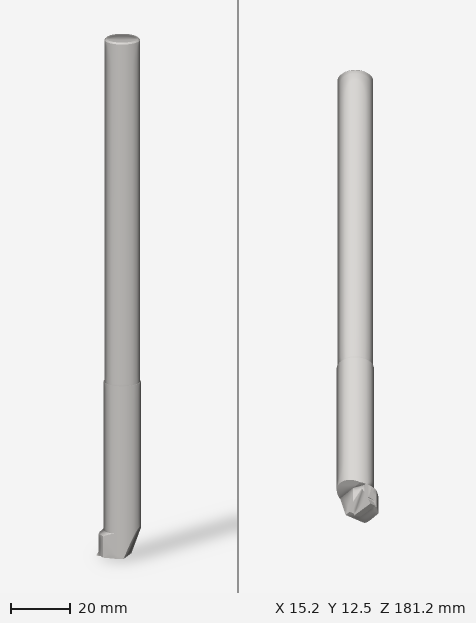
import cadquery as cq
import math

total_length = 181.2
neck_diameter = 12.5
shank_diameter = 12.0
shoulder_height = 61.5
end_chamfer = 0.5
neck_radius = neck_diameter / 2
through = 4 * neck_diameter

head_bottom = 1.0
head_top = 9.8
head_cone_slope = 0.9
head_side_top_x = -7.6
head_side_low_x = -8.0
nose_height = 3.3
nose_x = -7.5

side_corner = (-7.2, -3.5)
front_corner_x = -4.5

relief_height = 11.2
relief_bottom_x = 2.5

flat_y = 2.2
rake_y = 0.2
ramp_start_x = -5.5
ramp_end_x = -1.8
chip_wall_low = 9.8
chip_wall_high = 11.2

insert_edge = 9.6
insert_thickness = 2.4
insert_relief = 7.0
insert_tilt = 3.0
tip_x = neck_radius - 15.2


def insert_outline():
    """Equilateral triangle on the rake plane with its cutting tip at Z = 0."""
    points = [(tip_x, 0)]
    for direction in (insert_tilt, insert_tilt + 60):
        angle = math.radians(direction)
        points.append((tip_x + insert_edge * math.cos(angle), insert_edge * math.sin(angle)))
    return cq.Workplane("XZ", origin=(0, rake_y, 0)).polyline(points).close()


def make_insert():
    return insert_outline().extrude(insert_thickness, taper=insert_relief)


def make_bar():
    neck = cq.Workplane("XY").workplane(offset=head_bottom).circle(neck_radius)
    neck = neck.extrude(shoulder_height - head_bottom)
    shank = cq.Workplane("XY").workplane(offset=shoulder_height).circle(shank_diameter / 2)
    shank = shank.extrude(total_length - shoulder_height).faces(">Z").chamfer(end_chamfer)
    return neck.union(shank)


def make_head():
    """Nose block: its plan section kept inside its front outline, under a conical top."""
    plan = [
        (0, rake_y),
        (head_side_low_x, rake_y),
        side_corner,
        (front_corner_x, -neck_radius),
        (0, -neck_radius),
    ]
    outline = [
        (0, head_bottom),
        (nose_x, head_bottom),
        (nose_x, nose_height),
        (head_side_low_x, nose_height),
        (head_side_top_x, head_top),
        (0, head_top),
    ]
    plan_block = cq.Workplane("XY").polyline(plan).close().extrude(head_top)
    outline_block = cq.Workplane("XZ").polyline(outline).close().extrude(through / 2, both=True)
    cone_radius = neck_diameter
    cone_foot = head_top - head_cone_slope * (cone_radius - neck_radius)
    cone_section = [
        (0, 0),
        (cone_radius, 0),
        (cone_radius, cone_foot),
        (neck_radius, head_top),
        (0, head_top),
    ]
    cone = cq.Workplane("XZ").polyline(cone_section).close().revolve(360, (0, 0), (0, 1))
    return plan_block.intersect(outline_block).intersect(cone)


def chip_space():
    """Clears the bar on the rake side: a flat, a ramp and a sloping end wall."""
    plan = [
        (-neck_diameter, rake_y),
        (ramp_start_x, rake_y),
        (ramp_end_x, flat_y),
        (neck_diameter, flat_y),
        (neck_diameter, neck_radius),
        (-neck_diameter, neck_radius),
    ]
    end_wall = [
        (0, 0),
        (0, chip_wall_low),
        (flat_y, chip_wall_low),
        (neck_radius, chip_wall_high),
        (neck_radius, 0),
    ]
    plan_block = cq.Workplane("XY").polyline(plan).close().extrude(chip_wall_high)
    wall_block = cq.Workplane("YZ").polyline(end_wall).close().extrude(through / 2, both=True)
    return plan_block.intersect(wall_block)


def tip_relief():
    """Sloping cut on the side of the bar opposite the cutting tip."""
    outline = [
        (neck_radius, relief_height),
        (relief_bottom_x, head_bottom),
        (neck_radius, head_bottom),
    ]
    return cq.Workplane("XZ").polyline(outline).close().extrude(through / 2, both=True)


def insert_pocket():
    """Seat of the insert, left open above its rake face."""
    opening = insert_outline().extrude(-neck_diameter)
    return make_insert().union(opening)


holder = make_bar().union(make_head())
holder = holder.cut(chip_space()).cut(tip_relief()).cut(insert_pocket())
insert = make_insert()

result = cq.Compound.makeCompound([holder.solids().val(), insert.val()])